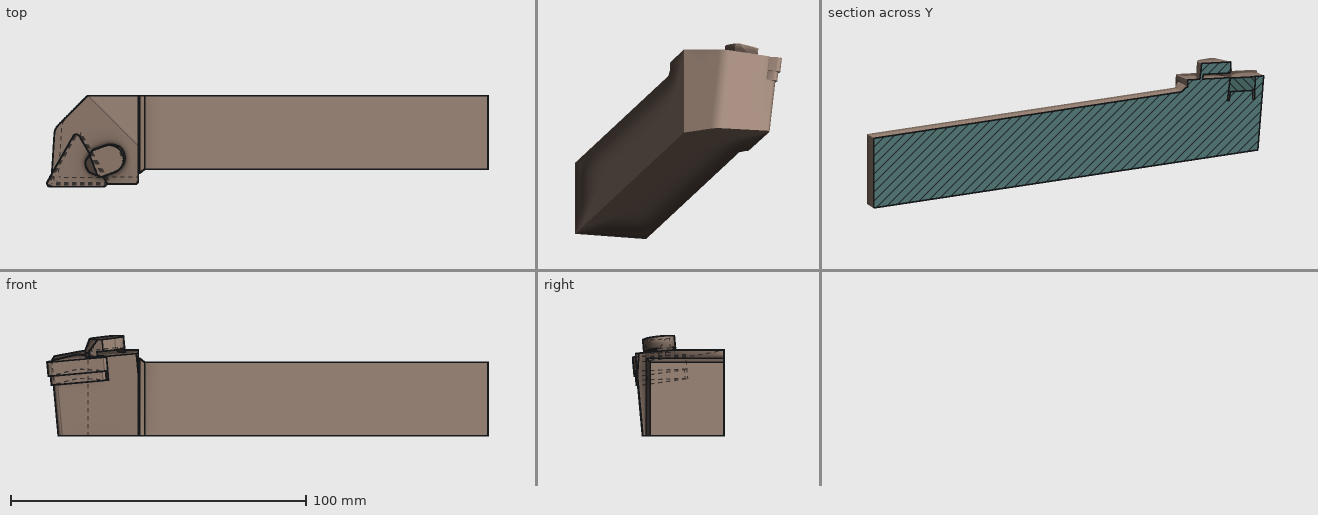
import cadquery as cq
import math


LENGTH = 149.5
SHANK_SIZE = 25.0
NECK_START = 31.0
NECK_TAPER_START = 31.4
NECK_END = 33.2
NECK_STEP = 1.3

HEAD_HEIGHT = 29.1
HEAD_FRONT = -5.1
BACK_CORNER_X = 13.9
SIDE_CORNER = (2.7, 13.7)
FRONT_CORNER_X = 1.3
RELIEF_CORNER_X = 30.3
RELIEF_RUN_X = 2.2
RELIEF_RUN_Y = 3.9
SIDE_CORNER_RADIUS = 5.0
FRONT_CORNER_RADIUS = 1.3

RAKE_SLOPE = 0.092
RAKE_ORIGIN_Z = HEAD_HEIGHT - RAKE_SLOPE * (BACK_CORNER_X + SHANK_SIZE)
RAKE_PLANE = cq.Plane(
    origin=(0, 0, RAKE_ORIGIN_Z),
    xDir=(1, 0, RAKE_SLOPE),
    normal=(-RAKE_SLOPE, -RAKE_SLOPE, 1),
)

INSERT_INCIRCLE = 12.7
INSERT_RADIUS_DIVISOR = 2
INSERT_INRADIUS = INSERT_INCIRCLE / 2
INSERT_SIDE = 2 * math.sqrt(3) * INSERT_INRADIUS
INSERT_NOSE_RADIUS = 1.2
INSERT_THICKNESS = 4.8
INSERT_RECESS = 0.1
INSERT_FRONT = -6.0
INSERT_LEFT = -0.06
NOSE_SETBACK = INSERT_NOSE_RADIUS * (math.sqrt(3) - 1)
INSERT_CENTER = (INSERT_LEFT + INSERT_SIDE / 2 - NOSE_SETBACK, INSERT_FRONT + INSERT_INRADIUS)
SHIM_THICKNESS = 3.1
SHIM_INSET = 0.5
SHIM_TOP = -INSERT_RECESS - INSERT_THICKNESS

CLAMP_CENTER = (21.8, 3.9)
CLAMP_ANGLE = 200.0
CLAMP_RADIUS = 4.8
CLAMP_HEIGHT = 5.5
CLAMP_SIDE_LENGTH = 4.5
CLAMP_TIP_REACH = 8.5
CLAMP_TIP_BULGE = 0.5
CLAMP_TIP_HALF_WIDTH = 2.0
CLAMP_SLOPE_TOP = 5.8
CLAMP_NOSE_HEIGHT = 1.2
CLAMP_GAP_HEIGHT = 1.5
CLAMP_GAP_START = -3.6
CLAMP_GAP_END = 6.3

MARGIN = 15.0
HEAD_REACH = 44.8


def box(x_range, y_range, z_range):
    """Axis-aligned box between pairs of limits."""
    sizes = [high - low for low, high in (x_range, y_range, z_range)]
    corner = (x_range[0], y_range[0], z_range[0])
    return cq.Workplane("XY").box(*sizes, centered=False).translate(corner)


def shank():
    return box((NECK_END, LENGTH), (0, SHANK_SIZE), (0, SHANK_SIZE))


def neck_section(x, step):
    """Rectangle across X whose front and top stand out from the shank by step."""
    top = SHANK_SIZE + step
    corners = [(-step, 0), (SHANK_SIZE, 0), (SHANK_SIZE, top), (-step, top)]
    return cq.Wire.makePolygon([cq.Vector(x, y, z) for y, z in corners], close=True)


def neck():
    """Short collar that tapers down from the head to the shank."""
    collar = box(
        (NECK_START, NECK_TAPER_START), (-NECK_STEP, SHANK_SIZE), (0, SHANK_SIZE + NECK_STEP)
    )
    sections = [neck_section(NECK_TAPER_START, NECK_STEP), neck_section(NECK_END, 0)]
    return collar.union(cq.Workplane(cq.Solid.makeLoft(sections, True)))


def head():
    """Prism running square to the rake face, trimmed by flat outer faces."""
    back = SHANK_SIZE + MARGIN
    right = NECK_START + MARGIN
    relief_end = (RELIEF_CORNER_X + RELIEF_RUN_X, HEAD_FRONT + RELIEF_RUN_Y)
    outline = [
        SIDE_CORNER,
        (FRONT_CORNER_X, HEAD_FRONT),
        (RELIEF_CORNER_X, HEAD_FRONT),
        relief_end,
        (right, relief_end[1]),
        (right, back),
        (SIDE_CORNER[0] + back - SIDE_CORNER[1], back),
    ]
    prism = cq.Workplane(RAKE_PLANE).polyline(outline).close().extrude(-HEAD_REACH)
    for corner, radius in (
        (SIDE_CORNER, SIDE_CORNER_RADIUS),
        ((FRONT_CORNER_X, HEAD_FRONT), FRONT_CORNER_RADIUS),
    ):
        edge_middle = RAKE_PLANE.toWorldCoords((*corner, -HEAD_REACH / 2))
        prism = prism.edges(cq.selectors.NearestToPointSelector(edge_middle.toTuple())).fillet(radius)
    trim = box((-MARGIN, NECK_START), (-MARGIN, SHANK_SIZE), (0, HEAD_HEIGHT))
    return prism.intersect(trim)


def triangle(grow=0.0):
    """Insert outline on the rake face, moved outward (or inward if negative) by grow."""
    inradius = INSERT_INRADIUS + grow
    half_side = math.sqrt(3) * inradius
    x, y = INSERT_CENTER
    return [(x - half_side, y - inradius), (x + half_side, y - inradius), (x, y + 2 * inradius)]


def triangular_plate(top, thickness, grow=0.0):
    """Rounded triangular plate whose top lies at a height above the rake face."""
    return (
        cq.Workplane(RAKE_PLANE)
        .workplane(offset=top - thickness)
        .polyline(triangle(grow))
        .close()
        .extrude(thickness)
        .edges(cq.selectors.ParallelDirSelector(RAKE_PLANE.zDir))
        .fillet(INSERT_NOSE_RADIUS)
    )


def clamp():
    """Top clamp: round tail, tapered nose with a sloped front, and a gap under its middle."""
    plane = cq.Plane(
        origin=RAKE_PLANE.toWorldCoords(CLAMP_CENTER), xDir=RAKE_PLANE.xDir, normal=RAKE_PLANE.zDir
    ).rotated((0, 0, CLAMP_ANGLE))
    body = (
        cq.Workplane(plane)
        .workplane(offset=-INSERT_RECESS)
        .moveTo(0, -CLAMP_RADIUS)
        .lineTo(CLAMP_SIDE_LENGTH, -CLAMP_RADIUS)
        .lineTo(CLAMP_TIP_REACH, -CLAMP_TIP_HALF_WIDTH)
        .threePointArc(
            (CLAMP_TIP_REACH + CLAMP_TIP_BULGE, 0), (CLAMP_TIP_REACH, CLAMP_TIP_HALF_WIDTH)
        )
        .lineTo(CLAMP_SIDE_LENGTH, CLAMP_RADIUS)
        .lineTo(0, CLAMP_RADIUS)
        .threePointArc((-CLAMP_RADIUS, 0), (0, -CLAMP_RADIUS))
        .close()
        .extrude(CLAMP_HEIGHT + INSERT_RECESS)
    )
    side = cq.Workplane(cq.Plane(origin=plane.origin, xDir=plane.xDir, normal=-plane.yDir))
    nose_slope = (
        side.polyline([
            (CLAMP_SLOPE_TOP, CLAMP_HEIGHT),
            (CLAMP_TIP_REACH + CLAMP_TIP_BULGE, CLAMP_NOSE_HEIGHT),
            (CLAMP_TIP_REACH + MARGIN, CLAMP_NOSE_HEIGHT),
            (CLAMP_TIP_REACH + MARGIN, CLAMP_HEIGHT),
        ])
        .close()
        .extrude(MARGIN, both=True)
    )
    gap = (
        side.moveTo(CLAMP_GAP_START, -MARGIN)
        .lineTo(CLAMP_GAP_START, CLAMP_GAP_HEIGHT)
        .lineTo(CLAMP_GAP_END, CLAMP_GAP_HEIGHT)
        .lineTo(CLAMP_GAP_END, -MARGIN)
        .close()
        .extrude(MARGIN, both=True)
    )
    return body.cut(nose_slope).cut(gap)


def make_holder():
    pocket_floor = SHIM_TOP - SHIM_THICKNESS
    pocket = triangular_plate(MARGIN, MARGIN - pocket_floor)
    shim = triangular_plate(SHIM_TOP, SHIM_THICKNESS, -SHIM_INSET)
    seated_head = head().cut(pocket).union(shim)
    return seated_head.union(neck()).union(shank()).union(clamp())


def make_insert():
    return triangular_plate(-INSERT_RECESS, INSERT_THICKNESS)


holder = make_holder()
insert = make_insert()
result = cq.Compound.makeCompound([holder.val(), insert.val()])